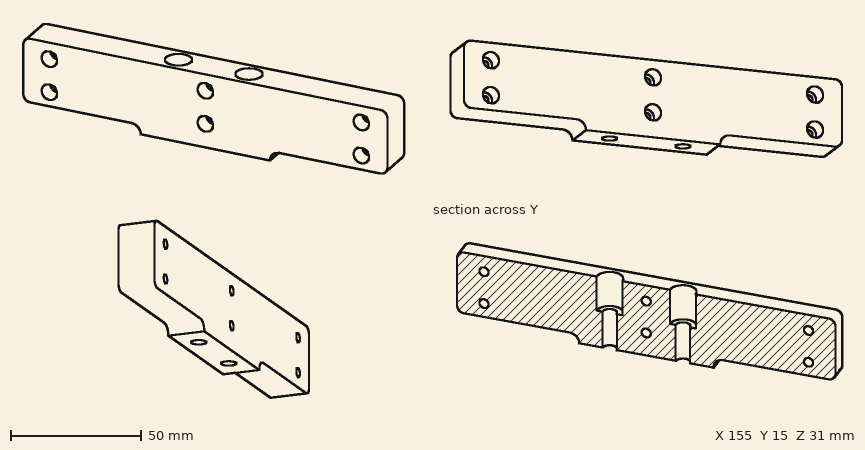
import cadquery as cq

length = 155.0
thickness = 15.0
height = 31.0
corner_radius = 3.0

tab_width = 55.0
tab_height = 4.0
tab_fillet = tab_height

screw_diameter = 3.6
screw_head_diameter = 6.5
screw_head_depth = 7.5
screw_column_spacing = 66.4
screw_row_spacing = 14.0
screw_top_margin = 7.0

bolt_diameter = 5.8
bolt_head_diameter = 10.5
bolt_head_depth = 15.0
bolt_spacing = 30.0


def counterbored_cutter(start, direction, depth, diameter, head_diameter, head_depth):
    """Through-hole cylinder with a wider head cylinder at its start."""
    shank = cq.Solid.makeCylinder(diameter / 2, depth, start, direction)
    head = cq.Solid.makeCylinder(head_diameter / 2, head_depth, start, direction)
    return cq.Workplane(obj=shank.fuse(head))


def make_body():
    """Rounded bar, centred on X and Y, standing above the tab."""
    body_height = height - tab_height
    return (
        cq.Workplane()
        .box(length, thickness, body_height, centered=(True, True, False))
        .translate((0, 0, tab_height))
        .edges("|Y")
        .fillet(corner_radius)
    )


def make_tab():
    """Tab whose sides are quarter-round arcs flaring into the body underside."""
    half_bottom = tab_width / 2
    half_top = half_bottom + tab_fillet
    return (
        cq.Workplane("XZ", origin=(0, thickness / 2, 0))
        .moveTo(-half_bottom, 0)
        .lineTo(half_bottom, 0)
        .radiusArc((half_top, tab_height), tab_fillet)
        .lineTo(-half_top, tab_height)
        .radiusArc((-half_bottom, 0), tab_fillet)
        .close()
        .extrude(thickness)
    )


def cut_screw_holes(part):
    """Two rows of three holes along Y."""
    top_row = height - screw_top_margin
    for z in (top_row, top_row - screw_row_spacing):
        for x in (-screw_column_spacing, 0, screw_column_spacing):
            part = part.cut(
                counterbored_cutter(
                    cq.Vector(x, -thickness / 2, z),
                    cq.Vector(0, 1, 0),
                    thickness,
                    screw_diameter,
                    screw_head_diameter,
                    screw_head_depth,
                )
            )
    return part


def cut_bolt_holes(part):
    """A pair of vertical holes running down through the tab."""
    for x in (-bolt_spacing / 2, bolt_spacing / 2):
        part = part.cut(
            counterbored_cutter(
                cq.Vector(x, 0, height),
                cq.Vector(0, 0, -1),
                height,
                bolt_diameter,
                bolt_head_diameter,
                bolt_head_depth,
            )
        )
    return part


result = make_body().union(make_tab())
result = cut_screw_holes(result)
result = cut_bolt_holes(result)